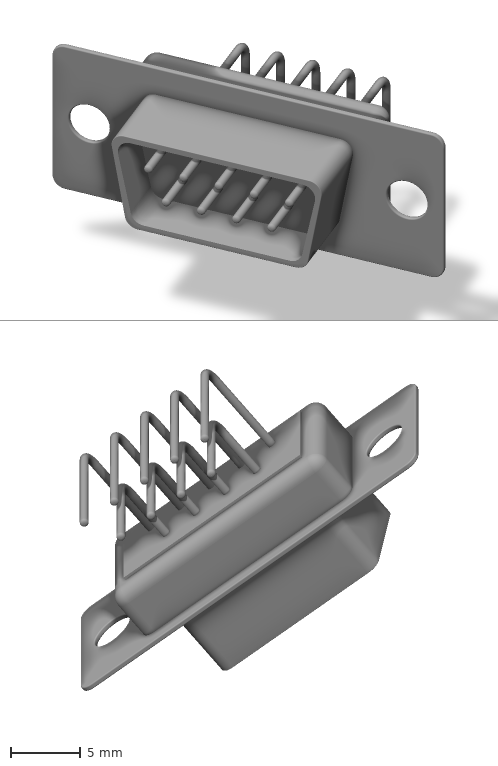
import cadquery as cq
import math


flange_width = 30.8
flange_height = 12.5
flange_thickness = 0.4
flange_corner_radius = 1.0
flange_edge_radius = 0.1
mount_hole_diameter = 3.2
mount_hole_spacing = 25.0

shell_height = 7.9
shell_mid_half_width = 7.765
shell_side_angle = 10.0
shell_length = 5.8
shell_wall = 0.48
cavity_depth = 3.7
cavity_side_angle = 11.5
shell_corner_radius = 1.0
shell_rim_radius = 0.05

housing_width = 19.2
housing_height = 9.9
housing_depth = 4.0
housing_edge_radius = 1.0
plate_height = 7.0
plate_width = 16.25
plate_thickness = 0.25

pin_diameter = 0.64
pin_tip_radius = 0.25
tail_tip_radius = 0.25
pin_pitch = 2.77
row_spacing = 2.54
upper_row_count = 5
lower_row_count = 4
pin_front_inset = 0.2
bend_radius = 1.3
bend_angle = 90.0
overall_depth = 18.66
overall_height = 16.4

pin_radius = pin_diameter / 2
housing_back = flange_thickness + housing_depth
shell_front = -shell_length
pin_front = shell_front + pin_front_inset
upper_tail_y = shell_front + overall_depth - pin_radius
lower_tail_y = upper_tail_y - row_spacing
tail_bottom = flange_height / 2 - overall_height


def trapezoid(mid_half_width, height, side_angle, start_y, length):
    """Prism along +Y with a D-shaped section, wider at the top."""
    half_height = height / 2
    side_slope = math.tan(math.radians(side_angle))
    top = mid_half_width + half_height * side_slope
    bottom = mid_half_width - half_height * side_slope
    corners = [(-top, half_height), (top, half_height), (bottom, -half_height), (-bottom, -half_height)]
    plane = cq.Workplane("XZ", origin=(0, start_y, 0))
    return plane.polyline(corners).close().extrude(-length)


def make_flange():
    flange = (
        cq.Workplane("XY")
        .box(flange_width, flange_thickness, flange_height)
        .translate((0, flange_thickness / 2, 0))
        .edges("|Y")
        .fillet(flange_corner_radius)
    )
    half_spacing = mount_hole_spacing / 2
    holes = (
        cq.Workplane("XZ")
        .pushPoints([(-half_spacing, 0), (half_spacing, 0)])
        .circle(mount_hole_diameter / 2)
        .extrude(-flange_thickness)
    )
    return flange.cut(holes).faces("<Y or >Y").edges().fillet(flange_edge_radius)


def make_housing():
    return (
        cq.Workplane("XY")
        .box(housing_width, housing_depth, housing_height)
        .translate((0, flange_thickness + housing_depth / 2, 0))
        .edges("|Y or >Y")
        .fillet(housing_edge_radius)
    )


def make_plate():
    return (
        cq.Workplane("XY")
        .box(plate_width, plate_thickness, plate_height)
        .translate((0, housing_back + plate_thickness / 2, 0))
    )


def make_shell():
    outer = trapezoid(shell_mid_half_width, shell_height, shell_side_angle, shell_front, shell_length)
    outer = outer.edges("|Y").fillet(shell_corner_radius)
    outer = outer.faces("<Y").edges().fillet(shell_rim_radius)
    side_wall_width = shell_wall / math.cos(math.radians(shell_side_angle))
    inner_half_width = shell_mid_half_width - side_wall_width
    inner_height = shell_height - 2 * shell_wall
    cavity = trapezoid(inner_half_width, inner_height, cavity_side_angle, shell_front, cavity_depth)
    cavity = cavity.edges("|Y").fillet(shell_corner_radius)
    return outer.cut(cavity)


def make_pin(x, z, tail_y):
    """Round pin running back along Y, then bent down into a solder tail."""
    bend_start_y = tail_y - bend_radius
    bend_end_z = z - bend_radius
    contact = (
        cq.Workplane("XZ", origin=(x, pin_front, z))
        .circle(pin_radius)
        .extrude(pin_front - bend_start_y)
        .faces("<Y")
        .edges()
        .fillet(pin_tip_radius)
    )
    bend = (
        cq.Workplane("XZ", origin=(x, bend_start_y, z))
        .circle(pin_radius)
        .revolve(bend_angle, (1, -bend_radius), (-1, -bend_radius))
    )
    tail = (
        cq.Workplane("XY", origin=(x, tail_y, tail_bottom))
        .circle(pin_radius)
        .extrude(bend_end_z - tail_bottom)
        .faces("<Z")
        .edges()
        .fillet(tail_tip_radius)
    )
    return contact.union(bend).union(tail)


def make_pin_row(count, z, tail_y):
    first_x = -(count - 1) * pin_pitch / 2
    return [make_pin(first_x + i * pin_pitch, z, tail_y) for i in range(count)]


result = make_flange().union(make_housing()).union(make_plate()).union(make_shell())
pins = make_pin_row(upper_row_count, row_spacing / 2, upper_tail_y)
pins += make_pin_row(lower_row_count, -row_spacing / 2, lower_tail_y)
for pin in pins:
    result = result.union(pin)